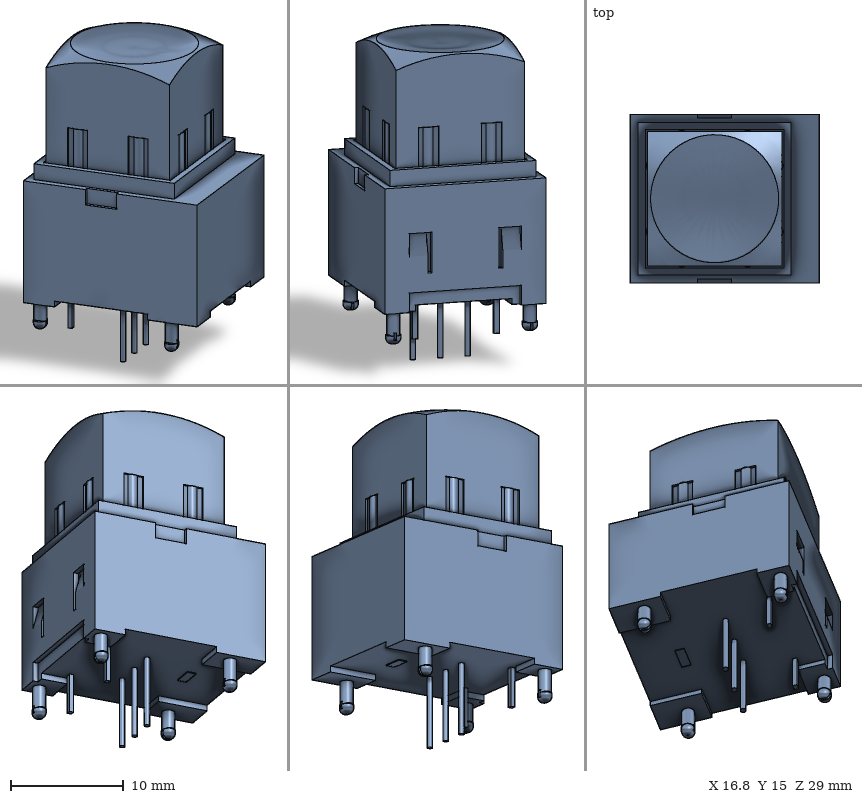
import cadquery as cq
import math


housing_length = 16.8
housing_width = 15.0
housing_half = housing_width / 2
housing_right = housing_length - housing_half
housing_top = 11.43
frame_bottom = 9.98

foot_gap_half = 4.5
clearance_height = 0.55
pad_height = 0.1
pad_length = 0.87
pad_width = 2.03
pad_center_y = -0.44

panel_width = 10.4
panel_half = panel_width / 2
panel_recess_top = 1.8
panel_recess_depth = 0.5

window_inner = 3.1
window_bottom = 3.5
window_top = 7.2
window_depth = 0.5
latch_inner = 3.48
latch_flush_top = 5.08
latch_tip = 6.95

notch_width = 3.02
notch_depth = 0.35

collar_size = 13.57
collar_opening = 12.3
collar_top = 12.9

button_size = 11.95
cap_bottom = 16.4
button_top = 23.0
crown_radius = 17.4
crown_margin = 0.3
rim_radius = 5.68
rim_width = 0.1
dish_depth = 0.44

groove_width = 1.9
groove_depth = 0.2
groove_offset = 2.93
rib_diameter = 1.05
rib_stand_out = 0.1

peg_offset = 6.35
peg_diameter = 1.2
peg_lip_spread = 0.102
peg_lip_height = 0.23
long_peg_end = -3.0
short_peg_end = -2.6
slot_width = 0.23
slot_top = -1.88
slot_bottom = -2.55

pin_diameter = 0.5
pin_pitch = 2.55
pin_end = -6.0
terminal_x = -4.5
terminal_y = 3.8
terminal_length_x = 0.4
terminal_width_y = 0.5
terminal_end = -3.07


def block(x_range, y_range, z_range):
    """Box between pairs of limits along X, Y and Z."""
    size = [high - low for low, high in (x_range, y_range, z_range)]
    corner = (x_range[0], y_range[0], z_range[0])
    return cq.Workplane("XY").box(*size, centered=False).translate(corner)


def square_block(size, z_low, z_high):
    """Square column centred on the button axis."""
    half = size / 2
    return block((-half, half), (-half, half), (z_low, z_high))


def cylinder(x, y, diameter, z_low, z_high):
    return cq.Workplane("XY", origin=(x, y, z_low)).circle(diameter / 2).extrude(z_high - z_low)


def make_latch(side):
    """Snap latch with a sloped top, filling most of one window (side = +1 or -1 in Y)."""
    floor_x = -housing_half + window_depth
    profile = [
        (-housing_half, window_bottom),
        (floor_x, window_bottom),
        (floor_x, latch_tip),
        (-housing_half, latch_flush_top),
    ]
    start_y = latch_inner if side > 0 else -panel_half
    latch = cq.Workplane("XZ").polyline(profile).close().extrude(-(panel_half - latch_inner))
    return latch.translate((0, start_y, 0))


def make_housing():
    x_limits = (-housing_half, housing_right)
    y_limits = (-housing_half, housing_half)
    gap = (-foot_gap_half, foot_gap_half)
    clearance = (0, clearance_height)
    housing = block(x_limits, y_limits, (0, housing_top))

    housing = housing.cut(block(gap, y_limits, clearance)).cut(block(x_limits, gap, clearance))
    housing = housing.union(block(
        (foot_gap_half, foot_gap_half + pad_length),
        (pad_center_y - pad_width / 2, pad_center_y + pad_width / 2),
        (clearance_height - pad_height, clearance_height),
    ))

    housing = housing.cut(block(
        (-housing_half, -housing_half + panel_recess_depth),
        (-panel_half, panel_half),
        (0, panel_recess_top),
    ))

    for side in (1, -1):
        window_y = sorted((side * window_inner, side * panel_half))
        window_x = (-housing_half, -housing_half + window_depth)
        housing = housing.cut(block(window_x, window_y, (window_bottom, window_top)))
        housing = housing.union(make_latch(side))

        notch_x = (-notch_width / 2, notch_width / 2)
        notch_y = sorted((side * housing_half, side * (housing_half - notch_depth)))
        housing = housing.cut(block(notch_x, notch_y, (frame_bottom, housing_top)))

    collar = square_block(collar_size, housing_top, collar_top)
    collar = collar.cut(square_block(collar_opening, housing_top, collar_top))
    return housing.union(collar)


def make_stem():
    """Button stem under the cap, with two ribbed grooves in each of its four sides."""
    half = button_size / 2
    stem = square_block(button_size, housing_top, cap_bottom)
    groove = block(
        (-groove_width / 2, groove_width / 2),
        (-half, -half + groove_depth),
        (housing_top, cap_bottom),
    )
    rib_y = -half - rib_stand_out + rib_diameter / 2
    rib = cylinder(0, rib_y, rib_diameter, housing_top, cap_bottom)
    for angle in (0, 90, 180, 270):
        for offset in (-groove_offset, groove_offset):
            stem = stem.cut(groove.translate((offset, 0, 0)).rotate((0, 0, 0), (0, 0, 1), angle))
            stem = stem.union(rib.translate((offset, 0, 0)).rotate((0, 0, 0), (0, 0, 1), angle))
    return stem


def make_cap():
    """Square cap rounded off by a sphere, with a concave finger dish in its top."""
    outer_radius = button_size / math.sqrt(2) + crown_margin
    sphere_center = button_top - math.sqrt(crown_radius**2 - rim_radius**2)

    def crown_height(radius):
        return sphere_center + math.sqrt(crown_radius**2 - radius**2)

    middle_radius = (rim_radius + outer_radius) / 2
    dish_radius = rim_radius - rim_width
    dish_floor = button_top - dish_depth
    dish_curvature = (dish_radius**2 + dish_depth**2) / (2 * dish_depth)
    dish_middle_rise = dish_curvature - math.sqrt(dish_curvature**2 - (dish_radius / 2) ** 2)
    dish_middle = (dish_radius / 2, dish_floor + dish_middle_rise)
    crown = (
        cq.Workplane("XZ")
        .moveTo(0, cap_bottom)
        .lineTo(outer_radius, cap_bottom)
        .lineTo(outer_radius, crown_height(outer_radius))
        .threePointArc((middle_radius, crown_height(middle_radius)), (rim_radius, button_top))
        .lineTo(dish_radius, button_top)
        .threePointArc(dish_middle, (0, dish_floor))
        .close()
        .revolve(360, (0, 0, 0), (0, 1, 0))
    )
    return square_block(button_size, cap_bottom, button_top).intersect(crown)


def make_peg(x, y, end):
    """Round peg whose split tip has two halves that stand out along Y."""
    radius = peg_diameter / 2
    dome_z = end + radius
    peg = cylinder(x, y, peg_diameter, dome_z, clearance_height)
    for side in (1, -1):
        tip_y = y + side * peg_lip_spread
        peg = peg.union(cylinder(x, tip_y, peg_diameter, dome_z, dome_z + peg_lip_height))
        peg = peg.union(cq.Workplane("XY", origin=(x, tip_y, dome_z)).sphere(radius))
    slot = block(
        (x - peg_diameter, x + peg_diameter),
        (y - slot_width / 2, y + slot_width / 2),
        (slot_bottom, slot_top),
    )
    return peg.cut(slot)


def make_terminal(y):
    x_limits = (terminal_x - terminal_length_x / 2, terminal_x + terminal_length_x / 2)
    y_limits = (y - terminal_width_y / 2, y + terminal_width_y / 2)
    return block(x_limits, y_limits, (terminal_end, clearance_height))


result = make_housing().union(make_stem()).union(make_cap())

for x_side in (1, -1):
    for y_side in (1, -1):
        peg_end = short_peg_end if x_side == y_side else long_peg_end
        result = result.union(make_peg(x_side * peg_offset, y_side * peg_offset, peg_end))

for pin_y in (-pin_pitch, 0, pin_pitch):
    result = result.union(cylinder(0, pin_y, pin_diameter, pin_end, clearance_height))

for terminal_side in (1, -1):
    result = result.union(make_terminal(terminal_side * terminal_y))